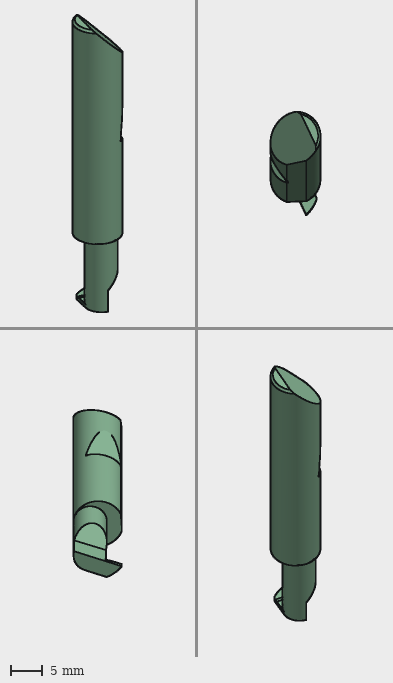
import cadquery as cq
import math


SHANK_DIAMETER = 7.9375
TOTAL_LENGTH = 50.8
SHANK_LENGTH = 38.2
SHANK_RADIUS = SHANK_DIAMETER / 2
SHANK_BOTTOM = TOTAL_LENGTH - SHANK_LENGTH

TOP_CHAMFER = 0.4
SIDE_FLAT_HALF_ANGLE = 22.5
SIDE_FLAT_ANGLE = 180 - SIDE_FLAT_HALF_ANGLE
SIDE_FLAT_DISTANCE = SHANK_RADIUS * math.cos(math.radians(SIDE_FLAT_HALF_ANGLE))
BEVEL_ANGLE = 45
BEVEL_EDGE_Y = -2.25
NOTCH_DEPTH = 1.35
NOTCH_BOTTOM = 29.1
NOTCH_LOWER_RISE = 0.75
NOTCH_UPPER_ANGLE = 9.5

NECK_RADIUS = 2.64
NECK_CENTER_X = SHANK_RADIUS - NECK_RADIUS
RELIEF_ANGLE = 45
RELIEF_BOTTOM = 4.1

BLADE_TOP = 0.83
BLADE_CORNER_X = -2.32
FLANK_BULGE = 0.2
BOTTOM_CLEARANCE_ANGLE = 2
GROOVE_RADIUS = 0.3
GROOVE_CENTER_X = -1.55
GROOVE_CENTER_Z = BLADE_TOP + 0.15

MARGIN = 5


def extrude_along_x(points):
    """A prism across the whole part from a (Y, Z) outline."""
    return cq.Workplane("YZ").polyline(points).close().extrude(SHANK_DIAMETER, both=True)


def make_shank():
    shank = cq.Workplane("XY").workplane(offset=SHANK_BOTTOM).circle(SHANK_RADIUS).extrude(SHANK_LENGTH)
    return shank.faces(">Z").chamfer(TOP_CHAMFER)


def side_flat_cutter():
    cutter = cq.Workplane("XY").box(MARGIN, SHANK_DIAMETER, TOTAL_LENGTH, centered=(False, True, False))
    cutter = cutter.translate((SIDE_FLAT_DISTANCE, 0, SHANK_BOTTOM))
    return cutter.rotate((0, 0, 0), (0, 0, 1), SIDE_FLAT_ANGLE)


def top_bevel_cutter():
    back_y = SHANK_RADIUS + MARGIN
    slope = math.tan(math.radians(BEVEL_ANGLE))
    upper = (BEVEL_EDGE_Y - MARGIN / slope, TOTAL_LENGTH + MARGIN)
    lower = (back_y, TOTAL_LENGTH - (back_y - BEVEL_EDGE_Y) * slope)
    return extrude_along_x([upper, lower, (back_y, TOTAL_LENGTH + MARGIN)])


def notch_cutter():
    notch_length = NOTCH_LOWER_RISE + NOTCH_DEPTH / math.tan(math.radians(NOTCH_UPPER_ANGLE))
    return extrude_along_x([
        (SHANK_RADIUS, NOTCH_BOTTOM),
        (SHANK_RADIUS - NOTCH_DEPTH, NOTCH_BOTTOM + NOTCH_LOWER_RISE),
        (SHANK_RADIUS, NOTCH_BOTTOM + notch_length),
    ])


def make_neck():
    return cq.Workplane("XY").center(NECK_CENTER_X, 0).circle(NECK_RADIUS).extrude(SHANK_BOTTOM)


def neck_relief_cutter():
    """Leaves only the -Y half of the neck below a sloped run-out."""
    relief_top = RELIEF_BOTTOM + SHANK_RADIUS * math.tan(math.radians(RELIEF_ANGLE))
    return extrude_along_x([
        (0, -MARGIN),
        (0, RELIEF_BOTTOM),
        (SHANK_RADIUS, relief_top),
        (SHANK_RADIUS, -MARGIN),
    ])


def make_blade():
    tip = (-SHANK_RADIUS, 0)
    corner = (BLADE_CORNER_X, -NECK_RADIUS)
    return (
        cq.Workplane("XY")
        .moveTo(*tip)
        .sagittaArc(corner, -FLANK_BULGE)
        .lineTo(NECK_CENTER_X, -NECK_RADIUS)
        .lineTo(NECK_CENTER_X, 0)
        .close()
        .extrude(BLADE_TOP)
    )


def groove_cutter():
    """A shallow round groove along Y where the blade meets the neck."""
    groove = cq.Workplane("XZ").center(GROOVE_CENTER_X, GROOVE_CENTER_Z).circle(GROOVE_RADIUS)
    return groove.extrude(SHANK_DIAMETER, both=True)


def bottom_clearance_cutter():
    """Everything below a plane that rises from the tip towards +X and -Y."""
    tip = (-SHANK_RADIUS, 0, 0)
    rise = math.tan(math.radians(BOTTOM_CLEARANCE_ANGLE))
    plane = cq.Plane(origin=tip, xDir=(1, 0, rise), normal=(-rise, rise, 1))
    return cq.Workplane(plane).circle(2 * SHANK_DIAMETER).extrude(-MARGIN)


shank = make_shank().cut(side_flat_cutter()).cut(top_bevel_cutter()).cut(notch_cutter())
neck = make_neck().cut(neck_relief_cutter())
cutting_end = neck.union(make_blade()).cut(groove_cutter()).cut(bottom_clearance_cutter())
result = shank.union(cutting_end)